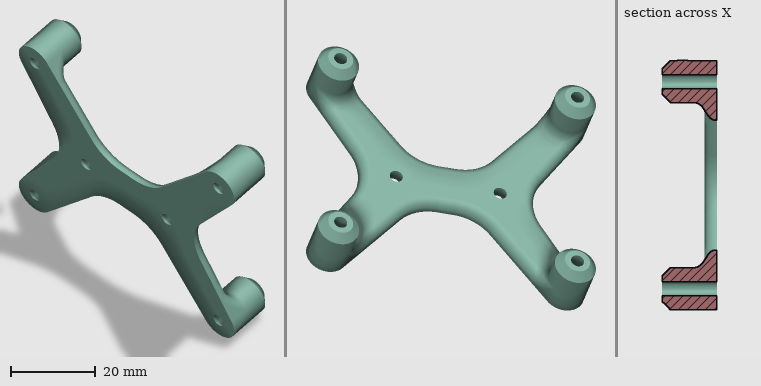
import cadquery as cq
import math

length = 68.0
height = 59.0
depth = 13.0
plate_thickness = 3.0
post_radius = 5.0
post_chamfer = 2.0
hole_diameter = 3.2
inner_hole_x = 12.7
blend_radius = 2.5

tolerance = 0.01

neck_half_height = 6.4
waist_half_width = 21.3
inner_edge_angle = 50.5
outer_edge_angle = 56.7
neck_radius = 11.55

flare_radius = post_radius + blend_radius
flare_top = plate_thickness + blend_radius
post_x = length / 2 - post_radius
post_z = height / 2 - post_radius
post_centers = [(sx * post_x, sz * post_z) for sx in (-1, 1) for sz in (-1, 1)]


def polar(center, radius, angle):
    """Point on a circle, with the angle in degrees."""
    a = math.radians(angle)
    return (center[0] + radius * math.cos(a), center[1] + radius * math.sin(a))


def extrude_back(sketch, distance):
    """Extrude an XZ sketch from the flat face towards +Y."""
    return sketch.extrude(-distance)


def cross_prism(distance):
    """Four arms joined by arcs at the neck and the waist."""
    post = (post_x, post_z)
    inner_tangent = polar(post, post_radius, inner_edge_angle + 90)
    outer_tangent = polar(post, post_radius, outer_edge_angle - 90)
    tip = polar(post, post_radius, (inner_edge_angle + outer_edge_angle) / 2)

    inner = math.radians(inner_edge_angle)
    neck_arc_z = neck_half_height + neck_radius
    neck_end_z = neck_arc_z - neck_radius * math.cos(inner)
    neck_end_x = inner_tangent[0] - (inner_tangent[1] - neck_end_z) / math.tan(inner)
    neck_arc = (neck_end_x - neck_radius * math.sin(inner), neck_arc_z)
    neck_end = (neck_end_x, neck_end_z)
    neck_start = (neck_arc[0], neck_half_height)
    neck_mid = polar(neck_arc, neck_radius, inner_edge_angle / 2 - 90)

    outer = math.radians(outer_edge_angle)
    edge_foot_x = outer_tangent[0] - outer_tangent[1] / math.tan(outer)
    waist_radius = (waist_half_width - edge_foot_x) / (1 / math.sin(outer) - 1)
    waist_arc = (waist_half_width + waist_radius, 0)
    waist_end = polar(waist_arc, waist_radius, outer_edge_angle + 90)

    def place(point, sx, sz):
        return (sx * point[0], sz * point[1])

    outline = cq.Workplane("XZ").moveTo(*place(neck_start, -1, 1))
    for sx, sz in ((1, 1), (-1, -1)):
        outline = (
            outline.lineTo(*place(neck_start, sx, sz))
            .threePointArc(place(neck_mid, sx, sz), place(neck_end, sx, sz))
            .lineTo(*place(inner_tangent, sx, sz))
            .threePointArc(place(tip, sx, sz), place(outer_tangent, sx, sz))
            .lineTo(*place(waist_end, sx, sz))
            .threePointArc((sx * waist_half_width, 0), place(waist_end, sx, -sz))
            .lineTo(*place(outer_tangent, sx, -sz))
            .threePointArc(place(tip, sx, -sz), place(inner_tangent, sx, -sz))
            .lineTo(*place(neck_end, sx, -sz))
            .threePointArc(place(neck_mid, sx, -sz), place(neck_start, sx, -sz))
        )
    return extrude_back(outline.close(), distance)


def flare(x, z):
    """Solid of revolution that sweeps up from the plate to one post."""
    middle = polar((flare_radius, flare_top), blend_radius, 225)
    profile = (
        cq.Workplane("XY")
        .lineTo(flare_radius, 0)
        .lineTo(flare_radius, plate_thickness)
        .threePointArc(middle, (post_radius, flare_top))
        .lineTo(0, flare_top)
        .close()
    )
    return profile.revolve(360, (0, 0), (0, 1)).translate((x, 0, z))


def is_rear_rim(edge):
    """True for the rear edges of the side walls, on the plate and along the flares."""
    if edge.geomType() == "BSPLINE":
        return True
    on_rear_face = math.isclose(edge.Center().y, plate_thickness, abs_tol=tolerance)
    is_flare_foot = edge.geomType() == "CIRCLE" and math.isclose(
        edge.radius(), flare_radius, abs_tol=tolerance
    )
    return on_rear_face and not is_flare_foot


def flared_plate():
    """Plate with a flare under each post and a rounded rear rim."""
    arm_ends = cross_prism(flare_top)
    plate = cross_prism(plate_thickness)
    for x, z in post_centers:
        plate = plate.union(flare(x, z).intersect(arm_ends))
    rim = [edge for edge in plate.edges().vals() if is_rear_rim(edge)]
    return plate.newObject(rim).fillet(blend_radius)


def post_tops():
    """Chamfered cylinders that carry the posts on from the top of the flares."""
    base = cq.Workplane("XZ", origin=(0, flare_top, 0))
    cylinders = extrude_back(base.pushPoints(post_centers).circle(post_radius), depth - flare_top)
    return cylinders.faces(">Y").chamfer(post_chamfer)


def holes():
    """Through holes in the four posts and on either side of the plate centre."""
    centers = post_centers + [(-inner_hole_x, 0), (inner_hole_x, 0)]
    return extrude_back(cq.Workplane("XZ").pushPoints(centers).circle(hole_diameter / 2), depth)


result = flared_plate().union(post_tops(), clean=False).cut(holes(), clean=False)